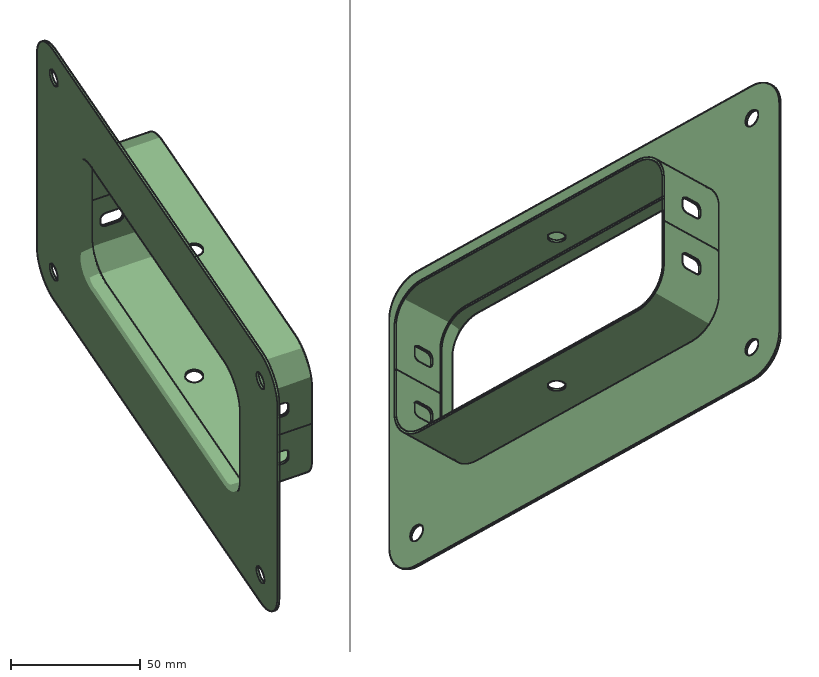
import cadquery as cq

PLATE_WIDTH = 214.0
PLATE_HEIGHT = 136.0
SHEET = 1.0
CORNER_RADIUS = 15.0
HOLE_DIAMETER = 7.0
LIP_LENGTH = 6.0

COLLAR_WIDTH = 148.0
COLLAR_HEIGHT = 70.0
COLLAR_DEPTH = 30.0

SLOT_LENGTH = 9.8
SLOT_HEIGHT = 7.0
SLOT_CORNER_RADIUS = 2.4
SLOT_SPACING = 26.0

HOLE_SPACING_X = PLATE_WIDTH - 2 * CORNER_RADIUS
HOLE_SPACING_Z = PLATE_HEIGHT - 2 * CORNER_RADIUS
COLLAR_MIDDLE_Y = COLLAR_DEPTH / 2
OPENING_INSET = 2 * SHEET
BEND_RADIUS = OPENING_INSET


def rounded_block(width, height, corner_radius, start_y, end_y):
    """Block centred on the Y axis, with rounded corners seen along Y."""
    return (
        cq.Workplane("XZ", origin=(0, start_y, 0))
        .rect(width, height)
        .extrude(start_y - end_y)
        .edges("|Y")
        .fillet(corner_radius)
    )


def collar_profile_block(inset, start_y, end_y):
    """Block with the collar's outline moved inward by the inset."""
    return rounded_block(
        COLLAR_WIDTH - 2 * inset,
        COLLAR_HEIGHT - 2 * inset,
        CORNER_RADIUS - inset,
        start_y,
        end_y,
    )


def make_plate():
    """Plate with a lip around its opening and four corner holes."""
    sheet = rounded_block(PLATE_WIDTH, PLATE_HEIGHT, CORNER_RADIUS, -SHEET, 0)
    lip = collar_profile_block(SHEET, -SHEET, LIP_LENGTH)
    opening = collar_profile_block(OPENING_INSET, -SHEET, LIP_LENGTH)
    plate = sheet.union(lip).cut(opening)

    opening_rim = cq.selectors.BoxSelector(
        (-COLLAR_WIDTH / 2, -2 * SHEET, -COLLAR_HEIGHT / 2),
        (COLLAR_WIDTH / 2, 0, COLLAR_HEIGHT / 2),
    )
    plate = plate.faces("<Y").edges(opening_rim).fillet(BEND_RADIUS)

    holes = (
        cq.Workplane("XZ", origin=(0, -SHEET, 0))
        .rect(HOLE_SPACING_X, HOLE_SPACING_Z, forConstruction=True)
        .vertices()
        .circle(HOLE_DIAMETER / 2)
        .extrude(-SHEET)
    )
    return plate.cut(holes).solids().val()


def make_wall_hole():
    """Cutter for the round hole through the middle of both long walls."""
    return (
        cq.Workplane("XY", origin=(0, COLLAR_MIDDLE_Y, 0))
        .circle(HOLE_DIAMETER / 2)
        .extrude(COLLAR_HEIGHT / 2, both=True)
    )


def make_slot(center_z):
    """Cutter for one rounded slot through both short walls."""
    return (
        cq.Workplane("XY")
        .box(COLLAR_WIDTH, SLOT_LENGTH, SLOT_HEIGHT)
        .edges("|X")
        .fillet(SLOT_CORNER_RADIUS)
        .translate((0, COLLAR_MIDDLE_Y, center_z))
    )


def make_collar_half(side):
    """U-shaped half of the collar: side 1 is above Z = 0, side -1 below it."""
    ring = collar_profile_block(0, 0, COLLAR_DEPTH).cut(collar_profile_block(SHEET, 0, COLLAR_DEPTH))
    half_space = (
        cq.Workplane("XY")
        .box(COLLAR_WIDTH, COLLAR_DEPTH, COLLAR_HEIGHT / 2)
        .translate((0, COLLAR_MIDDLE_Y, side * COLLAR_HEIGHT / 4))
    )
    half = ring.intersect(half_space).cut(make_wall_hole()).cut(make_slot(side * SLOT_SPACING / 2))
    return half.solids().val()


plate = make_plate()
collar_halves = [make_collar_half(side) for side in (1, -1)]

result = cq.Compound.makeCompound([plate, *collar_halves])